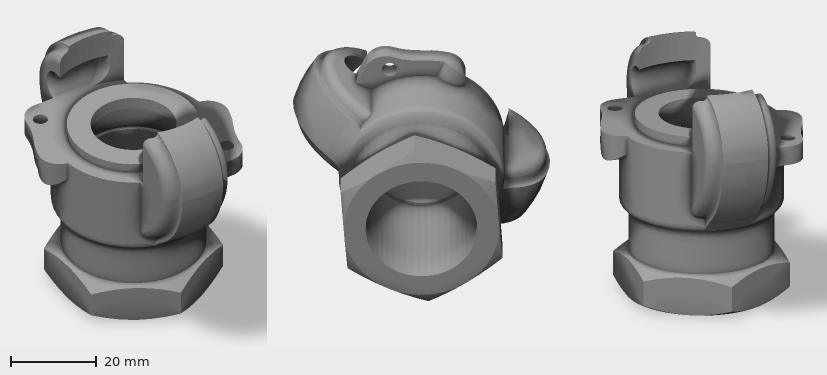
import cadquery as cq
import math

hex_flats = 36.15
hex_corners = hex_flats / math.cos(math.pi / 6)
hex_corner_top = 7.7
hex_corner_bottom = 1.6
chamfer_slope = math.tan(math.radians(30))

neck_radius = 34.0 / 2
body_radius = 19.25
neck_top = 19.3
body_bottom = 22.95
flange_top = 41.05
seat_radius = 31.0 / 2
seat_top = 43.5

bore_radius = 20.0 / 2
collar_radius = 24.15 / 2
socket_radius = 26 / 2
collar_bottom = 30.95
collar_top = 32.85
bore_bottom = 40.55

arm_height = 55.8
arm_radius = 30.95
arm_mid_height = 42.7
band_lower_arc_radius = 22.3
side_lower_arc_radius = 20.55
arm_throat_radius = 20.25
arm_root_radius = 16.7
arm_band_width = 11.15
arm_width = 17.6
arm_step = 1.35
arm_step_fillet = 1.2
arm_edge_fillet = 2.0
arm_foot_radius = 18.15
arm_foot_bottom = 21.1
arm_foot_rise = 3.5

slot_radius = 4.1
slot_center_x = -20.0
slot_top = 48.85
slot_end_y = 5.65
slot_end_radius = 4.65

lug_span = 47.0
lug_bottom = 36.45
lug_hole_diameter = 3.5
lug_hole_offset = 15.7
bump_radius = 5.0
bump_center = (3.05, lug_span / 2 - bump_radius)
bump_rib_radius = 3.9
bump_rib_x = 1.5
bump_rib_bottom = 34.35

corner_start = (21.05, 14.0)
corner_mid = (19.55, 17.6)
corner_end = (16.85, 19.0)
hollow_mid = (13.2, 19.8)
hollow_end = (9.8, 21.2)
swell_mid = (6.95, 22.5)
swell_end_x = 3.9


def both_sides(shape):
    """Join a shape with its copy turned half a turn about Z."""
    return shape.union(shape.rotate((0, 0, 0), (0, 0, 1), 180))


def make_hexagon():
    """Hexagon with both ends bevelled by cones at 30 degrees."""
    corner_radius = hex_corners / 2
    bottom_radius = corner_radius - hex_corner_bottom / chamfer_slope
    top = hex_corner_top + (corner_radius - neck_radius) * chamfer_slope
    hexagon = cq.Workplane("XY").polygon(6, hex_corners).extrude(top)
    turned = (
        cq.Workplane("XZ")
        .moveTo(0, 0)
        .lineTo(bottom_radius, 0)
        .lineTo(corner_radius, hex_corner_bottom)
        .lineTo(corner_radius, hex_corner_top)
        .lineTo(neck_radius, top)
        .lineTo(0, top)
        .close()
        .revolve(360, (0, 0, 0), (0, 1, 0))
    )
    return hexagon.intersect(turned)


def make_body():
    """Turned neck, curved shoulder, flange cylinder and raised sealing seat."""
    shoulder_mid = ((neck_radius + body_radius) / 2, (neck_top + body_bottom) / 2)
    return (
        cq.Workplane("XZ")
        .moveTo(0, hex_corner_bottom)
        .lineTo(neck_radius, hex_corner_bottom)
        .lineTo(neck_radius, neck_top)
        .tangentArcPoint(shoulder_mid, relative=False)
        .tangentArcPoint((body_radius, body_bottom), relative=False)
        .lineTo(body_radius, flange_top)
        .lineTo(seat_radius, flange_top)
        .lineTo(seat_radius, seat_top)
        .lineTo(0, seat_top)
        .close()
        .revolve(360, (0, 0, 0), (0, 1, 0))
    )


def make_bore():
    """Socket below, narrow collar and widening throat above it, plain bore at the top."""
    return (
        cq.Workplane("XZ")
        .moveTo(0, seat_top)
        .lineTo(bore_radius, seat_top)
        .lineTo(bore_radius, bore_bottom)
        .tangentArcPoint((socket_radius, collar_top), relative=False)
        .lineTo(collar_radius, collar_top)
        .lineTo(collar_radius, collar_bottom)
        .lineTo(socket_radius, collar_bottom)
        .lineTo(socket_radius, 0)
        .lineTo(0, 0)
        .close()
        .revolve(360, (0, 0, 0), (0, 1, 0))
    )


def make_arm_strip(inset, lower, width, with_foot):
    """Turn the claw profile, moved inward by inset, and keep a strip of the given width.

    lower is the radius of the arc below the widest point.
    """
    throat_depth = arm_radius - arm_throat_radius
    rise = arm_height - arm_mid_height
    upper_arc_radius = (throat_depth**2 + rise**2) / (2 * throat_depth)
    upper = upper_arc_radius - inset
    upper_center = arm_radius - upper_arc_radius
    lower_center = arm_radius - inset - lower

    def on_upper(radius):
        return (radius, arm_mid_height + math.sqrt(upper**2 - (radius - upper_center) ** 2))

    def on_lower(radius):
        return (radius, arm_mid_height - math.sqrt(lower**2 - (radius - lower_center) ** 2))

    lower_end = arm_foot_radius + arm_foot_rise if with_foot else arm_root_radius
    arc_mid = (arm_radius + arm_throat_radius) / 2
    profile = (
        cq.Workplane("XZ")
        .moveTo(arm_root_radius, flange_top)
        .lineTo(arm_throat_radius, flange_top)
        .lineTo(*on_upper(arm_throat_radius))
        .threePointArc(on_upper(arc_mid), (arm_radius - inset, arm_mid_height))
        .threePointArc(on_lower(arc_mid), on_lower(lower_end))
    )
    if with_foot:
        profile = profile.lineTo(arm_foot_radius, arm_foot_bottom).lineTo(arm_root_radius, arm_foot_bottom)
    turned = profile.close().revolve(360, (0, 0, 0), (0, 1, 0))
    strip = cq.Workplane("XY").box(3 * arm_radius, width, 3 * arm_height)
    return turned.intersect(strip)


def make_slot():
    """Round-backed slot in the -X arm, level with the flange, open at -Y and curving up at +Y."""
    round_back = (
        cq.Workplane("XZ", origin=(slot_center_x, 0, slot_top - slot_radius))
        .circle(slot_radius)
        .extrude(arm_width, both=True)
    )
    inward = cq.Workplane("XY", origin=(0, 0, flange_top)).box(
        -2 * slot_center_x, 2 * arm_width, slot_top - flange_top, centered=(True, True, False)
    )
    side = (
        cq.Workplane("YZ")
        .moveTo(-arm_width, flange_top)
        .lineTo(slot_end_y - slot_end_radius, flange_top)
        .tangentArcPoint((slot_end_y, flange_top + slot_end_radius), relative=False)
        .lineTo(slot_end_y, slot_top)
        .lineTo(-arm_width, slot_top)
        .close()
        .extrude(-arm_radius)
    )
    return side.intersect(round_back.union(inward))


def is_step_corner(edge):
    """True for the inner corner edges where the centre band rises out of the wide strip."""
    on_step = abs(abs(edge.Center().y) - arm_band_width / 2) < 0.005
    reach = max(math.hypot(vertex.X, vertex.Y) for vertex in edge.Vertices())
    return on_step and edge.geomType() == "BSPLINE" and reach < arm_radius - arm_step / 2


def make_arms():
    """Both claws: a wide strip with rounded sides under a raised centre band."""
    wide = make_arm_strip(arm_step, side_lower_arc_radius, arm_width, False)
    wide = wide.faces("<Y or >Y").edges("%BSPLINE").fillet(arm_edge_fillet)
    band = make_arm_strip(0, band_lower_arc_radius, arm_band_width, True)
    arms = wide.union(band)
    arms = arms.edges().filter(is_step_corner).fillet(arm_step_fillet)
    return arms.cut(both_sides(make_slot()))


def make_lug():
    """Flat ear with a wavy edge, deepened under its rounded bump by a half-round rib."""
    center_x, center_y = bump_center
    bump_inner = (center_x - bump_radius, center_y)
    bump_top = (center_x, lug_span / 2)
    swell_end = (swell_end_x, center_y + math.sqrt(bump_radius**2 - (swell_end_x - center_x) ** 2))
    column = (
        cq.Workplane("XY", origin=(0, 0, bump_rib_bottom))
        .moveTo(corner_start[0], arm_width / 2)
        .lineTo(*corner_start)
        .threePointArc(corner_mid, corner_end)
        .threePointArc(hollow_mid, hollow_end)
        .threePointArc(swell_mid, swell_end)
        .threePointArc(bump_top, bump_inner)
        .lineTo(bump_inner[0], arm_width / 2)
        .close()
        .extrude(flange_top - bump_rib_bottom)
    )
    plate = cq.Workplane("XY", origin=(0, 0, lug_bottom)).circle(lug_span).extrude(flange_top - lug_bottom)
    rib = (
        cq.Workplane("XZ")
        .center(bump_rib_x, bump_rib_bottom + bump_rib_radius)
        .circle(bump_rib_radius)
        .extrude(-lug_span)
    )
    ear = column.intersect(plate.union(rib))
    hole = (
        cq.Workplane("XY", origin=(lug_hole_offset, lug_hole_offset, lug_bottom))
        .circle(lug_hole_diameter / 2)
        .extrude(flange_top - lug_bottom)
    )
    return ear.cut(hole)


result = (
    make_hexagon()
    .union(make_body())
    .union(make_arms())
    .union(both_sides(make_lug()))
    .cut(make_bore())
)